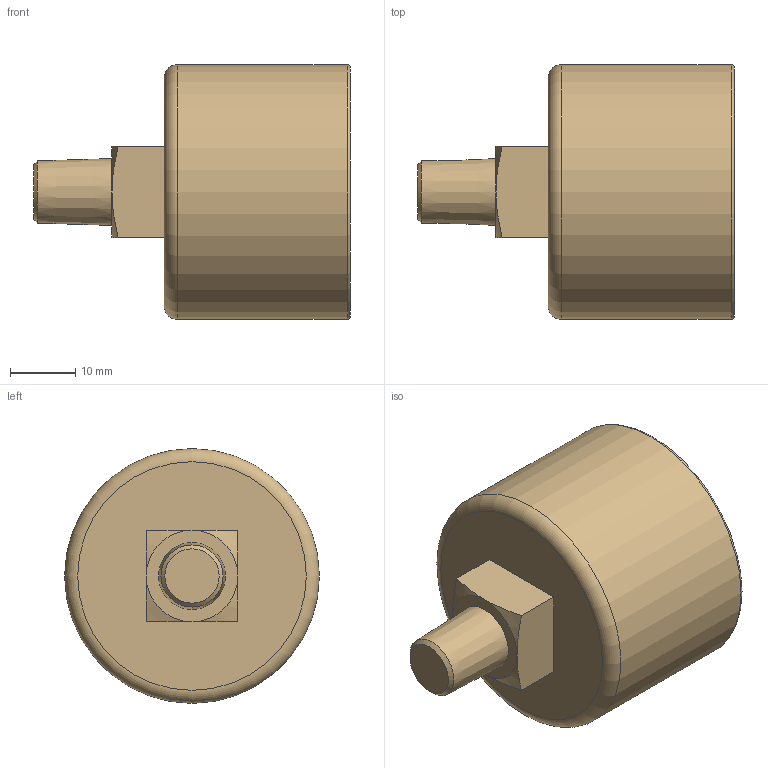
import cadquery as cq
import math


case_diameter = 39.0
case_length = 28.5
case_stem_side_fillet = 2.0
case_far_side_fillet = 0.5

block_width = 14.0
block_length = 8.0
block_corner_drop = 0.95

stem_length = 12.0
stem_tip_diameter = 9.48
stem_taper = 1 / 16
stem_tip_chamfer = 0.6

block_face_x = -block_length
stem_tip_x = block_face_x - stem_length


def revolve_about_x(profile):
    """Solid of revolution from a closed half profile of (x, radius) points."""
    axis_start = (0, 0, 0)
    axis_end = (1, 0, 0)
    return cq.Workplane("XZ").polyline(profile).close().revolve(360, axis_start, axis_end)


def make_case():
    case = cq.Workplane("YZ").circle(case_diameter / 2).extrude(case_length)
    case = case.faces("<X").edges().fillet(case_stem_side_fillet)
    return case.faces(">X").edges().fillet(case_far_side_fillet)


def make_block():
    """Square block whose free corners are bevelled by a cone around the X axis."""
    block = cq.Workplane("YZ").rect(block_width, block_width).extrude(block_face_x)
    bevel_start_radius = block_width / 2
    corner_radius = bevel_start_radius * math.sqrt(2)
    bevel_envelope = revolve_about_x([
        (block_face_x, 0),
        (block_face_x, bevel_start_radius),
        (block_face_x + block_corner_drop, corner_radius),
        (0, corner_radius),
        (0, 0),
    ])
    return block.intersect(bevel_envelope)


def make_stem():
    """Tapered stem, thinner toward its chamfered tip."""
    chamfer_end_radius = (stem_tip_diameter + stem_taper * stem_tip_chamfer) / 2
    base_radius = (stem_tip_diameter + stem_taper * stem_length) / 2
    return revolve_about_x([
        (stem_tip_x, 0),
        (stem_tip_x, chamfer_end_radius - stem_tip_chamfer),
        (stem_tip_x + stem_tip_chamfer, chamfer_end_radius),
        (block_face_x, base_radius),
        (block_face_x, 0),
    ])


result = make_case().union(make_block()).union(make_stem())